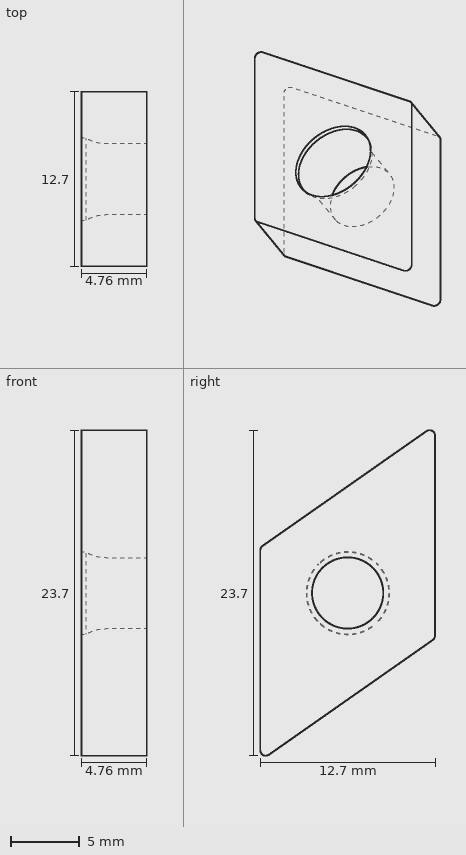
import cadquery as cq
import math

thickness = 4.76
inscribed_diameter = 12.7
acute_angle = 55.0
corner_radius = 0.4
bore_diameter = 5.16
mouth_diameter = 6.05
rim_diameter = 5.95
rim_depth = 0.33
flare_length = 1.47


def rhombus_plate():
    """Rhombic plate centred on the origin, two of its sides parallel to Z."""
    angle = math.radians(acute_angle)
    side = inscribed_diameter / math.sin(angle)
    half_width = inscribed_diameter / 2
    tip_height = side * (1 + math.cos(angle)) / 2
    blunt_height = side - tip_height
    corners = [
        (half_width, tip_height),
        (half_width, -blunt_height),
        (-half_width, -tip_height),
        (-half_width, blunt_height),
    ]
    plate = cq.Workplane("YZ").polyline(corners).close().extrude(thickness / 2, both=True)
    return plate.edges("|X").fillet(corner_radius)


def flared_hole():
    """Solid of the through hole, with a rim and a rounded flare at the -X face."""
    bore_radius = bore_diameter / 2
    mouth_radius = mouth_diameter / 2
    rim_radius = rim_diameter / 2
    face_x = -thickness / 2
    rim_x = face_x + rim_depth
    bore_x = rim_x + flare_length
    profile = (
        cq.Workplane("XZ")
        .moveTo(face_x, 0)
        .lineTo(face_x, -mouth_radius)
        .lineTo(rim_x, -rim_radius)
    )
    rise = rim_radius - bore_radius
    flare_radius = (flare_length**2 + rise**2) / (2 * rise)
    half_sweep = math.asin(flare_length / flare_radius) / 2
    middle = (
        bore_x - flare_radius * math.sin(half_sweep),
        -bore_radius - flare_radius * (1 - math.cos(half_sweep)),
    )
    profile = (
        profile.threePointArc(middle, (bore_x, -bore_radius))
        .lineTo(-face_x, -bore_radius)
        .lineTo(-face_x, 0)
        .close()
    )
    return profile.revolve(360, (0, 0, 0), (1, 0, 0))


result = rhombus_plate().cut(flared_hole())